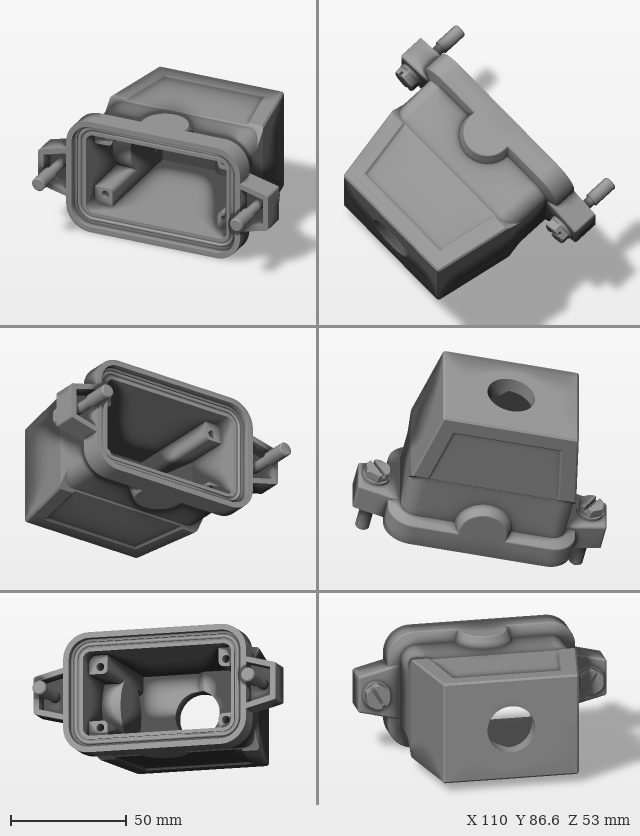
import cadquery as cq
import math


overall_length = 110.0
flange_width = 83.0
flange_height = 53.0
flange_depth = 12.1
flange_radius = 11.5
flange_slope_start = 10.0
flange_edge_radius = 0.8
edge_search_margin = 0.1

neck_width = 73.3
neck_height = 42.9
neck_radius = 7.0
neck_end = 33.9

block_end = 70.1
block_height = 45.6
block_end_width = 59.8
block_shoulder_depth = 7.0
block_edge_chamfer = 0.8

panel_depth = 0.8
panel_wall_run = 0.9
panel_end = 62.9
panel_end_width = 48.3
panel_start = 34.1
panel_start_width = 58.7

swell_base_radius = 12.6
swell_top_radius = 10.5
swell_edge_radius = 0.7
swell_root_depth = 7.7

recess_inset = 2.5
recess_depth = 3.2
groove_outer_inset = 3.6
groove_inner_inset = 6.4
groove_depth = 0.8
seal_inset = 4.8
seal_radius = 0.8
seal_crest = 2.8
cavity_inset = 7.9

shallow_floor = 60.1
deep_floor = 63.4
cavity_end_half_width = 28.5
step_shallow_x = 3.1
step_deep_x = -0.2
end_hole_diameter = 21.1

boss_radius = 14.8
boss_center_y = 45.6
boss_face_x = -25.2

post_inner_x = 25.2
post_inner_z = 10.3
post_start = 12.2
post_corner_radius = 2.2
post_hole_x = 28.5
post_hole_z = 13.4
post_hole_mouth_radius = 1.8
post_hole_end_radius = 1.3
post_hole_depth = 8.8

ear_tip_width = 16.3
ear_root_width = 25.4
ear_edge_radius = 1.1
ear_wall = 2.5
ear_floor = 4.7
ear_pocket_tip_width = 12.3
ear_pocket_root_width = 18.2

screw_x = 47.3
washer_radius = 5.9
washer_thickness = 1.5
head_sides = 6
head_corner_radius = 5.8
head_height = 3.8
head_chamfer_height = 0.5
head_chamfer_width = 0.9
head_turn = 32.0
slot_width = 1.6
slot_depth = 1.9
slot_turn = 31.0
shank_radius = 2.3
thread_radius = 3.1
thread_start = -4.7
screw_tip = -16.5
thread_chamfer = 0.5


def block_along_y(width, height, y_start, y_end, radius):
    """Rounded rectangular bar centred on the Y axis."""
    bar = cq.Workplane("XY").box(width, y_end - y_start, height).translate((0, (y_start + y_end) / 2, 0))
    return bar.edges("|Y").fillet(radius)


def flange_inset(inset, y_start, y_end):
    """Bar whose outline runs parallel to the flange outline."""
    return block_along_y(
        flange_width - 2 * inset, flange_height - 2 * inset, y_start, y_end, flange_radius - inset
    )


def disc_along_y(radius, y_start, y_end, x=0.0, z=0.0):
    return cq.Workplane("XZ", origin=(x, y_start, z)).circle(radius).extrude(y_start - y_end)


def both_ends(solid):
    """The solid and its mirror image across the YZ plane."""
    return solid.union(solid.mirror("YZ"))


def both_sides(solid):
    """The solid and its mirror image across the XY plane."""
    return solid.union(solid.mirror("XY"))


def make_flange():
    slope_run = (flange_width - neck_width) / 2
    slope_drop = flange_depth - flange_slope_start
    body = flange_inset(0, 0, flange_depth)
    body = body.faces(">Y").chamfer(slope_run, slope_drop)
    rim_edges = cq.selectors.BoxSelector(
        (-flange_width, flange_slope_start - edge_search_margin, -flange_height),
        (flange_width, flange_slope_start + edge_search_margin, flange_height),
    )
    return body.edges(rim_edges).fillet(flange_edge_radius)


def make_swell():
    """Drafted swelling: a half round on the neck that runs straight down into the flange."""
    height = flange_height / 2 - neck_height / 2
    draft = math.degrees(math.atan((swell_base_radius - swell_top_radius) / height))
    return (
        cq.Workplane("XY", origin=(0, flange_depth, neck_height / 2))
        .moveTo(-swell_base_radius, 0)
        .threePointArc((0, swell_base_radius), (swell_base_radius, 0))
        .lineTo(swell_base_radius, -swell_root_depth)
        .lineTo(-swell_base_radius, -swell_root_depth)
        .close()
        .extrude(height, taper=draft)
        .faces(">Z")
        .edges()
        .fillet(swell_edge_radius)
    )


def make_tapered_block():
    shoulder_rise = block_height / 2 - neck_height / 2
    full_height_start = neck_end + shoulder_rise
    shoulder_start = neck_end - block_shoulder_depth
    shoulder_half = neck_height / 2 - block_shoulder_depth
    plan = (
        cq.Workplane("XY", origin=(0, 0, -block_height / 2))
        .polyline(
            [
                (-neck_width / 2, shoulder_start),
                (neck_width / 2, shoulder_start),
                (neck_width / 2, neck_end),
                (block_end_width / 2, block_end),
                (-block_end_width / 2, block_end),
                (-neck_width / 2, neck_end),
            ]
        )
        .close()
        .extrude(block_height)
    )
    side = (
        cq.Workplane("YZ", origin=(-neck_width / 2, 0, 0))
        .polyline(
            [
                (shoulder_start, -shoulder_half),
                (full_height_start, -block_height / 2),
                (block_end, -block_height / 2),
                (block_end, block_height / 2),
                (full_height_start, block_height / 2),
                (shoulder_start, shoulder_half),
            ]
        )
        .close()
        .extrude(neck_width)
    )
    block = plan.intersect(side)
    end_edges = block.faces(">Y").edges()
    slanted_edges = block.faces(">Z or <Z").edges("not(#Y or |X)")
    return end_edges.add(slanted_edges).chamfer(block_edge_chamfer)


def make_panel_recess():
    def trapezoid(z, inset):
        return (
            cq.Workplane("XY", origin=(0, 0, z))
            .polyline(
                [
                    (-panel_start_width / 2 + inset, panel_start),
                    (panel_start_width / 2 - inset, panel_start),
                    (panel_end_width / 2 - inset, panel_end - inset),
                    (-panel_end_width / 2 + inset, panel_end - inset),
                ]
            )
            .close()
            .wires()
            .val()
        )

    floor = block_height / 2 - panel_depth
    return cq.Workplane(
        cq.Solid.makeLoft([trapezoid(block_height / 2, 0), trapezoid(floor, panel_wall_run)], True)
    )


def make_ear(root_x, tip_x, root_width, tip_width, y_end):
    """Tapered bar from root_x out to tip_x, starting at the mouth plane."""
    return (
        cq.Workplane("XZ")
        .polyline(
            [
                (root_x, -root_width / 2),
                (tip_x, -tip_width / 2),
                (tip_x, tip_width / 2),
                (root_x, root_width / 2),
            ]
        )
        .close()
        .extrude(-y_end)
    )


def make_outer_ear():
    """Ear carried inwards over the sloping flange rim until it meets the neck."""
    ear = make_ear(neck_width / 2, overall_length / 2, ear_root_width, ear_tip_width, flange_depth)
    ear = ear.edges("|Y and >X").fillet(ear_edge_radius)
    return ear.faces(">Y").edges("not(<X)").fillet(ear_edge_radius)


def make_ear_pocket():
    return make_ear(
        flange_width / 2,
        overall_length / 2 - ear_wall,
        ear_pocket_root_width,
        ear_pocket_tip_width,
        flange_depth - ear_floor,
    )


def make_cavity():
    half_width = flange_width / 2 - cavity_inset
    height = flange_height - 2 * cavity_inset
    deep_half_width = half_width - (half_width - cavity_end_half_width) * (deep_floor - neck_end) / (
        shallow_floor - neck_end
    )
    plan = (
        cq.Workplane("XY", origin=(0, 0, -height / 2))
        .polyline(
            [
                (half_width, 0),
                (half_width, neck_end),
                (cavity_end_half_width, shallow_floor),
                (step_shallow_x, shallow_floor),
                (step_deep_x, deep_floor),
                (-deep_half_width, deep_floor),
                (-half_width, neck_end),
                (-half_width, 0),
            ]
        )
        .close()
        .extrude(height)
    )
    return plan.intersect(flange_inset(cavity_inset, 0, block_end))


def make_post():
    """Post in the +X, +Z corner of the cavity, long enough to reach the deep floor."""
    size_x = flange_width / 2 - cavity_inset - post_inner_x
    size_z = flange_height / 2 - cavity_inset - post_inner_z
    length = deep_floor - post_start
    return (
        cq.Workplane("XY")
        .box(size_x, length, size_z, centered=False)
        .translate((post_inner_x, post_start, post_inner_z))
        .edges("|Y and <X and <Z")
        .fillet(post_corner_radius)
    )


def make_post_hole():
    """Slightly tapered blind hole in the +X, +Z post."""
    mouth = cq.Vector(post_hole_x, post_start, post_hole_z)
    hole = cq.Solid.makeCone(
        post_hole_mouth_radius, post_hole_end_radius, post_hole_depth, mouth, cq.Vector(0, 1, 0)
    )
    return cq.Workplane(hole)


def make_side_boss():
    wall_x = -flange_width / 2 + cavity_inset
    boss = cq.Workplane("YZ", origin=(wall_x, boss_center_y, 0)).circle(boss_radius)
    return boss.extrude(boss_face_x - wall_x)


def make_groove():
    groove_floor = recess_depth + groove_depth
    return flange_inset(groove_outer_inset, recess_depth, groove_floor).cut(
        flange_inset(groove_inner_inset, recess_depth, groove_floor)
    )


def make_seal():
    """Round cord lying in the groove all the way around the mouth."""
    path_y = seal_crest + seal_radius
    path_height = flange_height / 2 - seal_inset
    path = flange_inset(seal_inset, path_y, flange_depth).faces("<Y").wires().val()
    section = cq.Workplane("YZ", origin=(0, path_y, path_height)).circle(seal_radius)
    return section.sweep(cq.Workplane(path))


def make_screw():
    """Slotted hexagon screw with washer through the +X ear."""
    washer_top = flange_depth + washer_thickness
    head_top = washer_top + head_height
    washer = disc_along_y(washer_radius, flange_depth, washer_top)
    head = (
        cq.Workplane("XZ", origin=(0, washer_top, 0))
        .polygon(head_sides, 2 * head_corner_radius)
        .extrude(-head_height)
        .rotate((0, 0, 0), (0, 1, 0), head_turn)
    )
    head_blank = disc_along_y(head_corner_radius, washer_top, head_top)
    head = head.intersect(head_blank.faces(">Y").chamfer(head_chamfer_width, head_chamfer_height))
    slot = (
        cq.Workplane("XY")
        .box(slot_width, slot_depth, 4 * head_corner_radius)
        .translate((0, head_top - slot_depth / 2, 0))
        .rotate((0, 0, 0), (0, 1, 0), slot_turn)
    )
    shank = disc_along_y(shank_radius, thread_start, flange_depth)
    thread = disc_along_y(thread_radius, screw_tip, thread_start).faces("<Y").chamfer(thread_chamfer)
    screw = washer.union(head).cut(slot).union(shank).union(thread)
    return screw.translate((screw_x, 0, 0))


shell = make_flange().union(block_along_y(neck_width, neck_height, 0, neck_end, neck_radius))
shell = shell.union(make_tapered_block())
shell = shell.cut(both_sides(make_panel_recess()))
shell = shell.union(both_sides(make_swell()))
shell = shell.union(both_ends(make_outer_ear()))
shell = shell.cut(both_ends(make_ear_pocket()))

cavity = make_cavity()
posts = both_sides(both_ends(make_post()))
cavity_fill = cavity.intersect(posts.union(make_side_boss()))
shell = shell.cut(cavity).union(cavity_fill)
shell = shell.cut(both_sides(both_ends(make_post_hole())))
shell = shell.cut(disc_along_y(end_hole_diameter / 2, neck_end, block_end))

shell = shell.cut(flange_inset(recess_inset, 0, recess_depth))
shell = shell.cut(make_groove()).union(make_seal())

result = shell.union(both_ends(make_screw()))